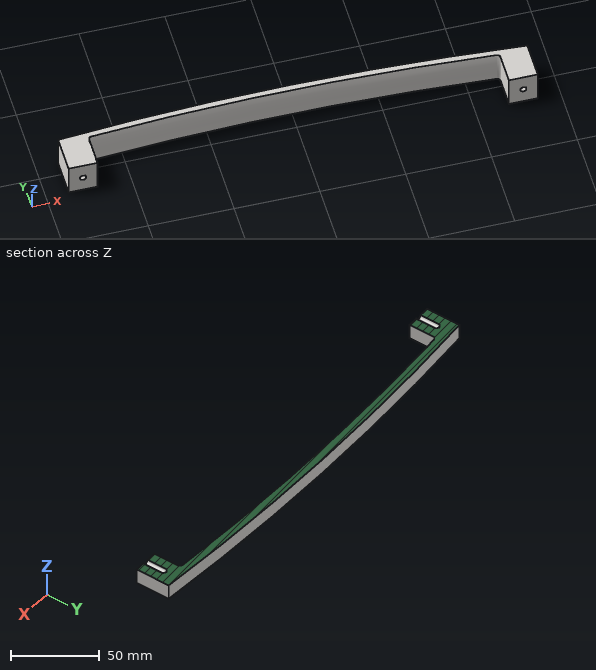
import cadquery as cq
import math

length = 273.5
depth = 28.7
height = 20.2

bow_rise = 6.0
edge_thickness = 4.0
belly_thickness = 5.7

leg_width = 17.0
corner_fillet = 2.0

hole_diameter = 3.5
hole_depth = 13.7
drill_tip_angle = 118.0

half_length = length / 2
bow_radius = (half_length**2 + bow_rise**2) / (2 * bow_rise)
bow_center_y = depth - bow_radius
shoulder_y = depth - bow_rise
leg_inner_x = half_length - leg_width
leg_center_x = half_length - leg_width / 2


def make_bow_envelope():
    """Full-depth block whose back face is the arc of the grip."""
    return (
        cq.Workplane("XY")
        .moveTo(-half_length, 0)
        .lineTo(-half_length, shoulder_y)
        .threePointArc((0, depth), (half_length, shoulder_y))
        .lineTo(half_length, 0)
        .close()
        .extrude(height / 2, both=True)
    )


def make_grip(envelope):
    """Bowed bar of constant section, with a convex face toward the legs."""
    edge_radius = bow_radius - edge_thickness
    belly_radius = bow_radius - belly_thickness
    ring = (
        cq.Workplane("XZ")
        .moveTo(bow_radius, -height / 2)
        .lineTo(edge_radius, -height / 2)
        .threePointArc((belly_radius, 0), (edge_radius, height / 2))
        .lineTo(bow_radius, height / 2)
        .close()
        .revolve(360, (0, 0), (0, 1))
        .translate((0, bow_center_y, 0))
    )
    return envelope.intersect(ring)


def make_leg(envelope, side):
    """Square leg at one end, trimmed to the arc of the back face."""
    block = cq.Workplane("XY").box(leg_width, depth, height).translate((side * leg_center_x, depth / 2, 0))
    return envelope.intersect(block)


def make_hole(side):
    """Blind drilled hole with a conical end, in the front face of one leg."""
    radius = hole_diameter / 2
    tip_length = radius / math.tan(math.radians(drill_tip_angle / 2))
    return (
        cq.Workplane("XY")
        .lineTo(radius, 0)
        .lineTo(radius, hole_depth)
        .lineTo(0, hole_depth + tip_length)
        .close()
        .revolve(360, (0, 0), (0, 1))
        .translate((side * leg_center_x, 0, 0))
    )


def inner_corner_box(side):
    """Region holding the edge where one leg meets the convex face of the grip."""
    reach = 0.3
    corner_min_y = depth / 2
    corner_max_y = shoulder_y - edge_thickness / 2
    return cq.selectors.BoxSelector(
        (side * leg_inner_x - reach, corner_min_y, -height),
        (side * leg_inner_x + reach, corner_max_y, height),
    )


envelope = make_bow_envelope()
result = make_grip(envelope)
for side in (-1, 1):
    result = result.union(make_leg(envelope, side))
for side in (-1, 1):
    result = result.edges(inner_corner_box(side)).fillet(corner_fillet)
    result = result.cut(make_hole(side))